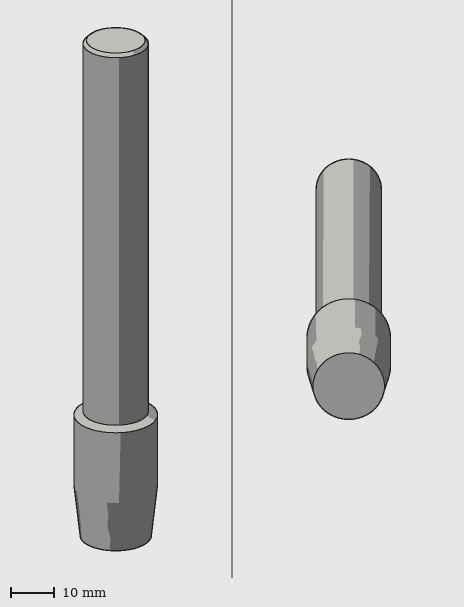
import cadquery as cq
import math

TOTAL_LENGTH = 125.0
HEAD_DIAMETER = 19.05
SHANK_DIAMETER = 14.9

HEAD_LENGTH = 31.4
NOSE_LENGTH = 12.7
NOSE_TAPER_DEGREES = 6.3
SHOULDER_HEIGHT = 0.9

SHANK_LENGTH = TOTAL_LENGTH - HEAD_LENGTH
SHANK_CHAMFER = 0.8


def make_head():
    """Revolve the head's half profile about Z, with its nose face on Z = 0."""
    head_radius = HEAD_DIAMETER / 2
    nose_radius = head_radius - NOSE_LENGTH * math.tan(math.radians(NOSE_TAPER_DEGREES))
    half_profile = (
        cq.Workplane("XZ")
        .moveTo(0, 0)
        .lineTo(nose_radius, 0)
        .lineTo(head_radius, NOSE_LENGTH)
        .lineTo(head_radius, HEAD_LENGTH - SHOULDER_HEIGHT)
        .lineTo(SHANK_DIAMETER / 2, HEAD_LENGTH)
        .lineTo(0, HEAD_LENGTH)
        .close()
    )
    return half_profile.revolve(360, (0, 0, 0), (0, 1, 0))


def make_shank():
    """Rod standing on the flat centre of the head's shoulder."""
    rod = (
        cq.Workplane("XY")
        .workplane(offset=HEAD_LENGTH)
        .circle(SHANK_DIAMETER / 2)
        .extrude(SHANK_LENGTH)
    )
    return rod.faces(">Z").chamfer(SHANK_CHAMFER)


head = make_head()
shank = make_shank()

result = cq.Compound.makeCompound([head.val(), shank.val()])